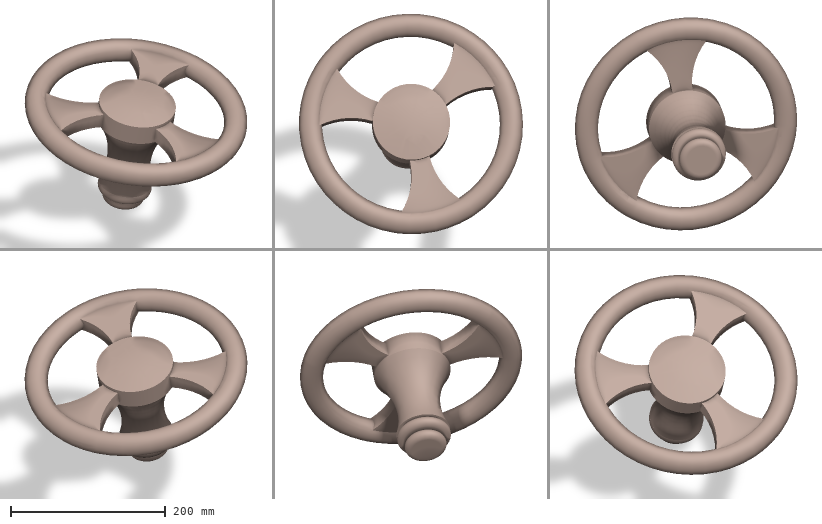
import cadquery as cq

tilt_angle = 10.0

rim_outer_radius = 145.0
rim_diameter = 30.0
rim_path_radius = rim_outer_radius - rim_diameter / 2

hub_radius = 100.0 / 2
hub_edge_height = rim_diameter / 2
hub_base_depth = 12.2
dome_height = 5.2
dome_radius = (hub_radius**2 + dome_height**2) / (2 * dome_height)

waist_radius = 28.5
waist_depth = 71.0
foot_radius = 35.0
foot_depth = 112.5

bead_height = 15.0
upper_bead_radius = foot_radius
lower_bead_radius = 27.3

spoke_count = 3
spoke_half_height = 10.0
spoke_neck_half_width = 13.0
spoke_neck_position = 47.8
spoke_side_radius = 92.8


def make_rim():
    return (
        cq.Workplane("XZ")
        .center(rim_path_radius, 0)
        .circle(rim_diameter / 2)
        .revolve(360, (-rim_path_radius, 0), (-rim_path_radius, 1))
    )


def make_hub_and_column():
    """Revolve the domed hub, waisted column and beads as one profile."""
    bead_radius = bead_height / 2
    upper_core = upper_bead_radius - bead_radius
    lower_core = lower_bead_radius - bead_radius
    bead_joint = -foot_depth - bead_height
    bottom = bead_joint - bead_height
    dome_mid_radius = hub_radius / 2
    dome_center = hub_edge_height + dome_height - dome_radius
    dome_mid_height = dome_center + (dome_radius**2 - dome_mid_radius**2) ** 0.5
    return (
        cq.Workplane("XZ")
        .moveTo(0, hub_edge_height + dome_height)
        .threePointArc((dome_mid_radius, dome_mid_height), (hub_radius, hub_edge_height))
        .lineTo(hub_radius, -hub_base_depth)
        .threePointArc((waist_radius, -waist_depth), (foot_radius, -foot_depth))
        .lineTo(upper_core, -foot_depth)
        .threePointArc((upper_bead_radius, -foot_depth - bead_radius), (upper_core, bead_joint))
        .lineTo(lower_core, bead_joint)
        .threePointArc((lower_bead_radius, bead_joint - bead_radius), (lower_core, bottom))
        .lineTo(0, bottom)
        .close()
        .revolve(360, (0, 0), (0, 1))
    )


def make_spoke():
    """Flat spoke along +X whose concave sides flare out into the rim."""
    height = 2 * spoke_half_height
    base = cq.Workplane("XY").workplane(offset=-spoke_half_height)
    spoke = base.circle(rim_path_radius).extrude(height)
    side_center = spoke_neck_half_width + spoke_side_radius
    strip = base.center(spoke_neck_position, 0).rect(
        rim_path_radius, 2 * side_center, centered=(False, True)
    )
    spoke = spoke.intersect(strip.extrude(height))
    sides = base.pushPoints([(spoke_neck_position, side_center), (spoke_neck_position, -side_center)])
    return spoke.cut(sides.circle(spoke_side_radius).extrude(height))


wheel = make_hub_and_column().union(make_rim())
for index in range(spoke_count):
    angle = index * 360 / spoke_count
    wheel = wheel.union(make_spoke().rotate((0, 0, 0), (0, 0, 1), angle))

result = wheel.rotate((0, 0, 0), (0, 1, 0), tilt_angle)